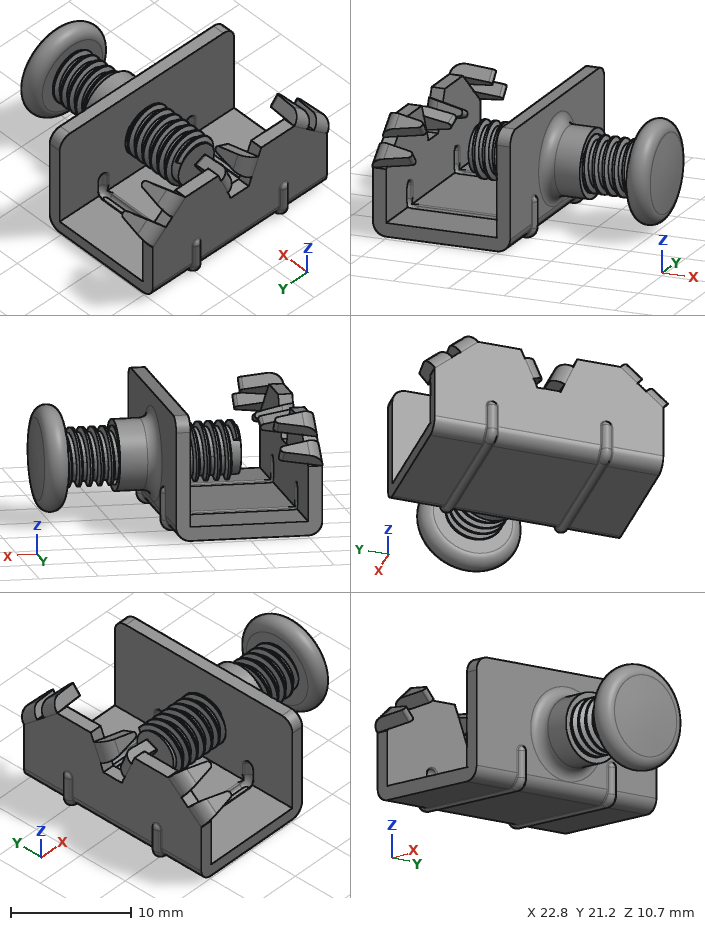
import cadquery as cq
import math

SHEET = 1.2
CHANNEL_DEPTH = 12.4
CHANNEL_LENGTH = 20.0
TALL_WALL_HEIGHT = 10.5
TOOTHED_WALL_HEIGHT = 9.18
HALF_LENGTH = CHANNEL_LENGTH / 2
TALL_WALL_X = CHANNEL_DEPTH - SHEET

CORNER_RUN = 3.75
CORNER_DROP = 3.28

NOTCH_TOP_WIDTH = 4.92
NOTCH_BOTTOM_WIDTH = 2.05
NOTCH_DEPTH = 3.46

TOOTH_LENGTH = 3.55
TOOTH_ROOT_WIDTH = 2.0
TOOTH_TAPER = 12
TOOTH_TIP_RADIUS = 0.32

BEAD_Y = HALF_LENGTH / 2
BEAD_RADIUS = 0.5
BEAD_SIDE_HEIGHT = 0.32
BEAD_BOTTOM_HEIGHT = 0.2
BEAD_BEND = 0.5
BEAD_END_Z = 3.1
BEAD_ROOT_FILLET = 0.11
GROOVE_END_Z = 2.9
GROOVE_BEND = 0.5
GROOVE_LIP_RADIUS = 0.14

SCREW_AXIS_Z = TALL_WALL_HEIGHT / 2
BOSS_RADIUS = 3.0
BOSS_HEIGHT = 3.3
BOSS_FILLET = 1.0

CORE_RADIUS = 2.05
CREST_RADIUS = 2.48
SCREW_START_X = 5.25
THREAD_PITCH = 0.9
THREAD_START_X = 5.54
THREAD_START_ANGLE = 35
THREAD_ROOT_WIDTH = 0.57
THREAD_CREST_WIDTH = 0.18
HEAD_X = 20.18
HEAD_RADIUS = 4.49
HEAD_RIM_RADIUS = 1.03
HEAD_CROWN = 0.23
EMBED = 0.07
JOIN_TOLERANCE = 0.001


def mirrored_pair(shape):
    """The shape and its mirror image across the middle plane y = 0."""
    return [shape, shape.mirror("XZ")]


def make_channel():
    outline = (
        cq.Workplane("XZ", origin=(0, HALF_LENGTH, 0))
        .moveTo(0, TOOTHED_WALL_HEIGHT)
        .lineTo(0, SHEET)
        .radiusArc((SHEET, 0), -SHEET)
        .lineTo(TALL_WALL_X, 0)
        .radiusArc((CHANNEL_DEPTH, SHEET), -SHEET)
        .lineTo(CHANNEL_DEPTH, TALL_WALL_HEIGHT)
        .lineTo(TALL_WALL_X, TALL_WALL_HEIGHT)
        .lineTo(TALL_WALL_X, SHEET)
        .lineTo(SHEET, SHEET)
        .lineTo(SHEET, TOOTHED_WALL_HEIGHT)
        .close()
    )
    channel = outline.extrude(CHANNEL_LENGTH)
    tall_wall_corners = cq.selectors.BoxSelector(
        (TALL_WALL_X, -CHANNEL_LENGTH, TALL_WALL_HEIGHT - EMBED),
        (CHANNEL_DEPTH, CHANNEL_LENGTH, TALL_WALL_HEIGHT + EMBED),
    )
    return channel.edges("|X").edges(tall_wall_corners).fillet(SHEET)


def make_wall_cutouts():
    """Both sloping corners and the V notch of the toothed wall, as one cutter."""
    top = TOOTHED_WALL_HEIGHT
    corner = (
        cq.Workplane("YZ")
        .moveTo(HALF_LENGTH, top)
        .lineTo(HALF_LENGTH - CORNER_RUN, top)
        .lineTo(HALF_LENGTH, top - CORNER_DROP)
        .close()
        .extrude(SHEET)
    )
    notch = (
        cq.Workplane("YZ")
        .moveTo(-NOTCH_TOP_WIDTH / 2, top)
        .lineTo(NOTCH_TOP_WIDTH / 2, top)
        .lineTo(NOTCH_BOTTOM_WIDTH / 2, top - NOTCH_DEPTH)
        .lineTo(-NOTCH_BOTTOM_WIDTH / 2, top - NOTCH_DEPTH)
        .close()
        .extrude(SHEET)
    )
    right_corner, left_corner = mirrored_pair(corner)
    return notch.union(right_corner).union(left_corner)


def make_tooth():
    """A tooth lying on z = 0, pointing along +X, with its root centred on the origin."""
    taper = math.radians(TOOTH_TAPER)
    tip_centre_x = TOOTH_LENGTH - TOOTH_TIP_RADIUS
    tangent_x = tip_centre_x + TOOTH_TIP_RADIUS * math.sin(taper)
    tangent_y = TOOTH_TIP_RADIUS * math.cos(taper)
    planform = (
        cq.Workplane("XY")
        .moveTo(0, -TOOTH_ROOT_WIDTH / 2)
        .lineTo(tangent_x, -tangent_y)
        .threePointArc((TOOTH_LENGTH, 0), (tangent_x, tangent_y))
        .lineTo(0, TOOTH_ROOT_WIDTH / 2)
        .close()
        .extrude(SHEET)
    )
    bend_profile = (
        cq.Workplane("XZ")
        .radiusArc((SHEET, SHEET), SHEET)
        .lineTo(TOOTH_LENGTH, SHEET)
        .lineTo(TOOTH_LENGTH, 0)
        .close()
        .extrude(TOOTH_ROOT_WIDTH / 2, both=True)
    )
    return planform.intersect(bend_profile)


def make_teeth():
    """Two teeth flush with the ends of each sloping corner and one halfway down each notch side."""
    slope_angle = math.atan2(CORNER_DROP, CORNER_RUN)
    slope_length = math.hypot(CORNER_DROP, CORNER_RUN)
    notch_run = (NOTCH_TOP_WIDTH - NOTCH_BOTTOM_WIDTH) / 2
    notch_angle = math.atan2(NOTCH_DEPTH, notch_run)
    seats = [
        (
            HALF_LENGTH - CORNER_RUN + distance * math.cos(slope_angle),
            TOOTHED_WALL_HEIGHT - distance * math.sin(slope_angle),
            -slope_angle,
        )
        for distance in (TOOTH_ROOT_WIDTH / 2, slope_length - TOOTH_ROOT_WIDTH / 2)
    ]
    seats.append(
        (
            (NOTCH_TOP_WIDTH + NOTCH_BOTTOM_WIDTH) / 4,
            TOOTHED_WALL_HEIGHT - NOTCH_DEPTH / 2,
            notch_angle,
        )
    )
    teeth = []
    for y, z, angle in seats:
        tooth = make_tooth().rotate((0, 0, 0), (1, 0, 0), math.degrees(angle)).translate((0, y, z))
        teeth.extend(mirrored_pair(tooth))
    return teeth


def u_path(left_x, right_x, bottom_z, end_z, bend):
    """A U in the plane of the bead: down one wall, across the floor and up the other wall."""
    return (
        cq.Workplane("XZ", origin=(0, BEAD_Y, 0))
        .moveTo(left_x, end_z)
        .lineTo(left_x, bottom_z + bend)
        .radiusArc((left_x + bend, bottom_z), -bend)
        .lineTo(right_x - bend, bottom_z)
        .radiusArc((right_x, bottom_z + bend), -bend)
        .lineTo(right_x, end_z)
    )


def make_bead():
    """A round bar following the outside of the channel, with ball ends."""
    inset = BEAD_RADIUS - BEAD_SIDE_HEIGHT
    left_x = inset
    right_x = CHANNEL_DEPTH - inset
    bottom_z = BEAD_RADIUS - BEAD_BOTTOM_HEIGHT
    path = u_path(left_x, right_x, bottom_z, BEAD_END_Z, BEAD_BEND)
    bead = cq.Workplane("XY", origin=(left_x, BEAD_Y, BEAD_END_Z)).circle(BEAD_RADIUS).sweep(path)
    for x in (left_x, right_x):
        bead = bead.union(cq.Workplane("XY", origin=(x, BEAD_Y, BEAD_END_Z)).sphere(BEAD_RADIUS))
    return bead


def groove_half_outline(plane):
    """Half of the groove section: a round trough as wide as the bead, with a rounded lip.

    The first axis is the distance from the middle of the groove, the second the height above the surface.
    """
    lip_scale = BEAD_RADIUS / (BEAD_RADIUS + GROOVE_LIP_RADIUS)
    lip_end_x = math.sqrt(BEAD_RADIUS**2 + 2 * BEAD_RADIUS * GROOVE_LIP_RADIUS)
    return (
        cq.Workplane(plane)
        .moveTo(0, -BEAD_RADIUS)
        .radiusArc((lip_end_x * lip_scale, -GROOVE_LIP_RADIUS * lip_scale), -BEAD_RADIUS)
        .radiusArc((lip_end_x, 0), GROOVE_LIP_RADIUS)
        .lineTo(lip_end_x, EMBED)
        .lineTo(0, EMBED)
    )


def make_groove_cutters():
    """The groove on the inside of the channel and its two round ends on the walls."""
    path = u_path(SHEET, TALL_WALL_X, SHEET, GROOVE_END_Z, GROOVE_BEND)
    left_end = cq.Plane(origin=(SHEET, BEAD_Y, GROOVE_END_Z), xDir=(0, 1, 0), normal=(0, 0, -1))
    right_end = cq.Plane(origin=(TALL_WALL_X, BEAD_Y, GROOVE_END_Z), xDir=(0, 1, 0), normal=(0, 0, 1))
    cutters = [groove_half_outline(left_end).mirrorY().sweep(path)]
    for plane in (left_end, right_end):
        cutters.append(groove_half_outline(plane).close().revolve(360, (0, 0, 0), (0, 1, 0)))
    return cutters


def make_boss():
    base_x = CHANNEL_DEPTH
    end_x = base_x + BOSS_HEIGHT
    return (
        cq.Workplane("XY")
        .moveTo(base_x - EMBED, 0)
        .lineTo(base_x - EMBED, BOSS_RADIUS + BOSS_FILLET)
        .lineTo(base_x, BOSS_RADIUS + BOSS_FILLET)
        .radiusArc((base_x + BOSS_FILLET, BOSS_RADIUS), -BOSS_FILLET)
        .lineTo(end_x, BOSS_RADIUS)
        .lineTo(end_x, 0)
        .close()
        .revolve(360, (0, 0, 0), (1, 0, 0))
        .translate((0, 0, SCREW_AXIS_Z))
    )


def make_screw_bore():
    return (
        cq.Workplane("YZ", origin=(TALL_WALL_X, 0, SCREW_AXIS_Z))
        .circle(CREST_RADIUS)
        .extrude(SHEET + BOSS_HEIGHT)
    )


def add_beads(channel):
    """The channel with both beads, their roots filleted into the sheet."""
    joined = channel
    for bead in mirrored_pair(make_bead()):
        joined = joined.union(bead)
    solid = joined.val().Solids()[0]

    def is_bead_root(edge):
        centre = edge.Center()
        inset = abs(abs(centre.y) - BEAD_Y)
        beside_bead = EMBED < inset < BEAD_RADIUS
        above_bead = inset < EMBED and BEAD_END_Z + EMBED < centre.z < BEAD_END_Z + BEAD_RADIUS
        return beside_bead or above_bead

    roots = [edge for edge in solid.Edges() if is_bead_root(edge)]
    return cq.Workplane(solid.fillet(BEAD_ROOT_FILLET, roots))


def make_bracket():
    bracket = add_beads(make_channel())
    for cutter in make_groove_cutters():
        for groove in mirrored_pair(cutter.cut(make_bead())):
            bracket = bracket.cut(groove)
    bracket = bracket.cut(make_wall_cutouts())
    for tooth in make_teeth():
        bracket = bracket.union(tooth)
    bracket = bracket.union(make_boss()).cut(make_screw_bore())
    return bracket.solids()


def make_thread():
    """Right-handed ridge wound around the X axis, running on into the head."""
    length = HEAD_X + HEAD_CROWN - THREAD_START_X
    root_radius = CORE_RADIUS - EMBED
    helix = cq.Wire.makeHelix(THREAD_PITCH, length, root_radius)
    ridge = (
        cq.Workplane("XZ")
        .moveTo(root_radius, -THREAD_ROOT_WIDTH / 2)
        .lineTo(CORE_RADIUS, -THREAD_ROOT_WIDTH / 2)
        .lineTo(CREST_RADIUS, -THREAD_CREST_WIDTH / 2)
        .lineTo(CREST_RADIUS, THREAD_CREST_WIDTH / 2)
        .lineTo(CORE_RADIUS, THREAD_ROOT_WIDTH / 2)
        .lineTo(root_radius, THREAD_ROOT_WIDTH / 2)
        .close()
        .sweep(cq.Workplane(obj=helix), isFrenet=True)
    )
    along_x = ridge.rotate((0, 0, 0), (1, 1, 1), 120)
    return along_x.rotate((0, 0, 0), (1, 0, 0), THREAD_START_ANGLE).translate((THREAD_START_X, 0, 0))


def make_screw():
    rim_middle_x = HEAD_X + HEAD_RIM_RADIUS
    crown_x = rim_middle_x + HEAD_RIM_RADIUS
    flat_radius = HEAD_RADIUS - HEAD_RIM_RADIUS
    crown_radius = (flat_radius**2 + HEAD_CROWN**2) / (2 * HEAD_CROWN)
    shank_and_head = (
        cq.Workplane("XY")
        .moveTo(SCREW_START_X, 0)
        .lineTo(SCREW_START_X, CORE_RADIUS)
        .lineTo(HEAD_X, CORE_RADIUS)
        .lineTo(HEAD_X, flat_radius)
        .threePointArc((rim_middle_x, HEAD_RADIUS), (crown_x, flat_radius))
        .radiusArc((crown_x + HEAD_CROWN, 0), crown_radius)
        .close()
        .revolve(360, (0, 0, 0), (1, 0, 0))
    )
    screw = shank_and_head.union(make_thread(), tol=JOIN_TOLERANCE)
    return screw.translate((0, 0, SCREW_AXIS_Z)).solids()


bracket = make_bracket()
screw = make_screw()

result = cq.Compound.makeCompound([bracket.val(), screw.val()])